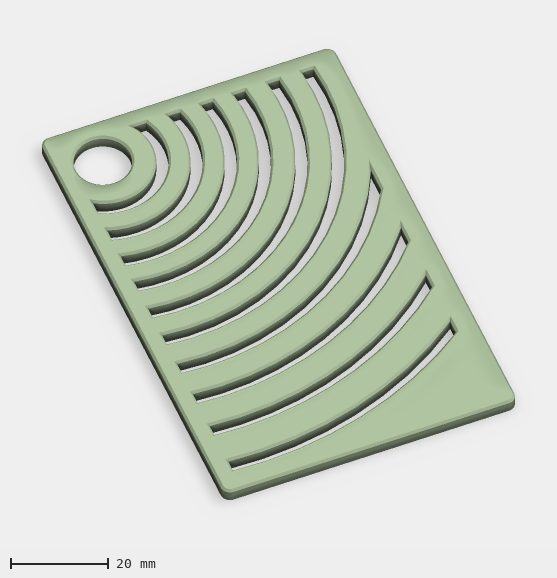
import cadquery as cq

length = 100.0
width = 65.0
thickness = 3.0
corner_radius = 2.0
edge_chamfer = 0.5

hole_diameter = 12.0
hole_x = 10.0
hole_y = 10.0

slot_width = 2.5
slot_inner_radii = [11.0, 18.0, 25.0, 32.0, 39.5, 47.0, 55.0, 63.5, 72.5, 82.5]
border = 4.0
back_border = 5.0


def rounded_plate():
    """Plate with one corner at the origin."""
    plate = cq.Workplane("XY").box(length, width, thickness, centered=False)
    return plate.edges("|Z").fillet(corner_radius)


def slot_window():
    """Block that limits the slots to the area inside the borders."""
    size_x = length - 2 * border
    size_y = width - border - back_border
    return (
        cq.Workplane("XY")
        .box(size_x, size_y, thickness, centered=False)
        .translate((border, border, 0))
    )


def arc_slot(inner_radius):
    """Ring around the hole centre, trimmed to the window."""
    ring = (
        cq.Workplane("XY")
        .center(hole_x, hole_y)
        .circle(inner_radius + slot_width)
        .circle(inner_radius)
        .extrude(thickness)
    )
    return ring.intersect(slot_window())


result = rounded_plate()
hole = cq.Workplane("XY").center(hole_x, hole_y).circle(hole_diameter / 2).extrude(thickness)
result = result.cut(hole)
for radius in slot_inner_radii:
    result = result.cut(arc_slot(radius))

result = result.faces(">Z").edges().chamfer(edge_chamfer)